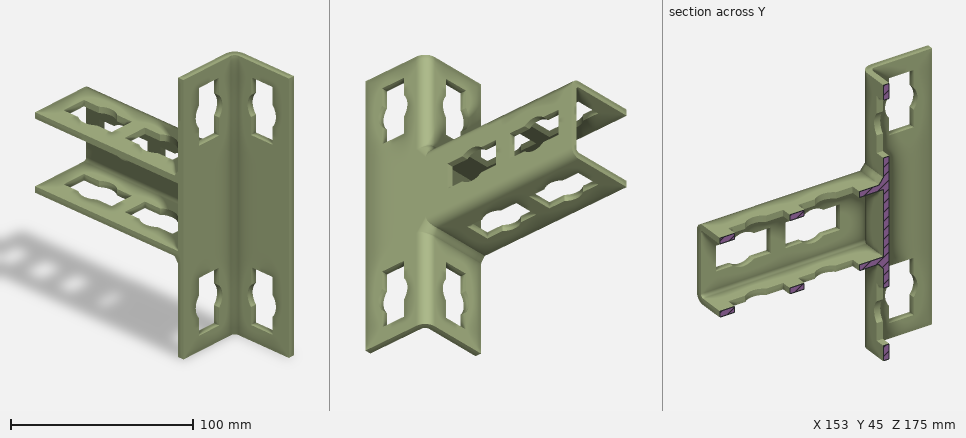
import cadquery as cq
import math


sheet = 4.0
flange = 45.0
total_width = 153.0
angle_height = 175.0
arm_length = total_width - flange
arm_height = 50.4

angle_bend = 7.0
arm_bend = 6.0

weld_along_arm = 2.8
weld_along_angle = 3.8
weld_stations = 6

slot_length = 36.2
slot_width = 16.3
bulge_diameter = 21.4
slot_end_distance = 28.0
slot_line = 24.5
arm_slot_pitch = 46.0

slot_z = angle_height / 2 - slot_end_distance
first_arm_slot_x = slot_end_distance - arm_length
arm_slot_positions = (first_arm_slot_x, first_arm_slot_x + arm_slot_pitch)


def box(x_range, y_range, z_range):
    """Box spanning the given (low, high) range on each axis."""
    size = [high - low for low, high in (x_range, y_range, z_range)]
    corner = (x_range[0], y_range[0], z_range[0])
    return cq.Workplane("XY").box(*size, centered=False).translate(corner)


def angle_cavity():
    """Space inside the angle, with its rounded inner bend."""
    half = angle_height / 2
    space = box((sheet, flange), (-flange, -sheet), (-half, half))
    return space.edges("|Z and <X and >Y").fillet(angle_bend - sheet)


def make_angle():
    half = angle_height / 2
    block = box((0, flange), (-flange, 0), (-half, half))
    block = block.edges("|Z and <X and >Y").fillet(angle_bend)
    return block.cut(angle_cavity())


def make_arm():
    """U-channel open to the front, run up to the end of the angle bend and trimmed by its cavity."""
    half = arm_height / 2
    span = (-arm_length, angle_bend)
    block = box(span, (-flange, 0), (-half, half))
    block = block.edges("|X and >Y").fillet(arm_bend)
    channel = box(span, (-flange, -sheet), (sheet - half, half - sheet))
    channel = channel.edges("|X and >Y").fillet(arm_bend - sheet)
    return block.cut(channel).cut(angle_cavity())


def round_drop(y, radius, offset=0.0):
    """Fall at y, from the flat face, of a bend surface grown outward by offset."""
    beyond = max(0.0, y + radius)
    grown = radius + offset
    return grown - math.sqrt(grown**2 - beyond**2)


def weld_section(y):
    """Triangle between the arm and the angle at depth y."""
    root_x = round_drop(y, angle_bend)
    toe_x = round_drop(y, angle_bend, weld_along_arm) - weld_along_arm
    root_z = arm_height / 2 - round_drop(y, arm_bend)
    toe_z = arm_height / 2 + weld_along_angle - round_drop(y, arm_bend, weld_along_angle)
    corners = [(root_x, y, root_z), (toe_x, y, root_z), (root_x, y, toe_z)]
    return cq.Wire.makePolygon([cq.Vector(*corner) for corner in corners], close=True)


def make_weld():
    """Weld over the upper arm flange: straight, then following both bends to the back face."""
    straight = cq.Solid.makeLoft([weld_section(-flange), weld_section(-angle_bend)], True)
    turns = [math.pi / 2 * i / (weld_stations - 1) for i in range(weld_stations)]
    sections = [weld_section(angle_bend * (math.sin(turn) - 1)) for turn in turns]
    curved = cq.Solid.makeLoft(sections)
    return cq.Workplane(straight).union(cq.Workplane(curved))


def slot_cutter(depth):
    """Slot lying along X, cut along Z, centred on the origin."""
    bulge = cq.Workplane("XY").circle(bulge_diameter / 2).extrude(depth / 2, both=True)
    return cq.Workplane("XY").box(slot_length, slot_width, depth).union(bulge)


wall_slot = slot_cutter(4 * sheet)
arm_slot = slot_cutter(2 * arm_height)

upper_weld = make_weld()
result = make_angle().union(make_arm()).union(upper_weld).union(upper_weld.mirror("XY"))

web_slot = wall_slot.rotate((0, 0, 0), (1, 0, 0), 90)
for x in arm_slot_positions:
    result = result.cut(web_slot.translate((x, 0, 0)))
    result = result.cut(arm_slot.translate((x, -slot_line, 0)))

left_slot = wall_slot.rotate((0, 0, 0), (0, 1, 0), 90)
back_slot = left_slot.rotate((0, 0, 0), (0, 0, 1), 90)
for z in (-slot_z, slot_z):
    result = result.cut(back_slot.translate((slot_line, 0, z)))
    result = result.cut(left_slot.translate((0, -slot_line, z)))